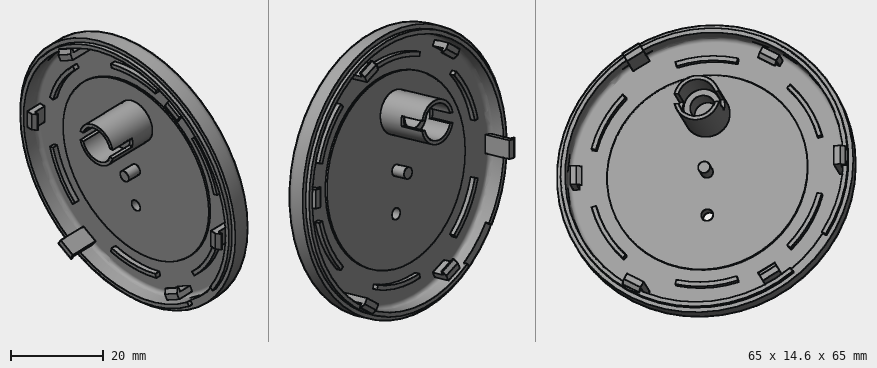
import cadquery as cq
import math


cover_radius = 32.5
shoulder_height = 5.0
lip_height = 1.0
rim_height = shoulder_height + lip_height
lip_setback = 1.0
lip_thickness = 1.0
lip_outer_radius = cover_radius - lip_setback
wall_inner_radius = lip_outer_radius - lip_thickness
back_fillet = 2.0
inner_fillet = 1.0
floor_height = 2.0

disc_radius = 22.0
disc_height = floor_height + 0.5

gap_center_angle = -42.0
gap_span_angle = 19.5

boss_z = 13.0
boss_outer_radius = 5.0
boss_inner_radius = 4.15
boss_height = 14.6
boss_slot_width = 2.3
boss_slot_depth = 6.0
boss_hole_radius = 2.75
boss_ledge_height = 7.6

small_radius = 1.3
pin_height = rim_height
hole_z = -9.7

rib_count = 6
rib_first_angle = 30.0
rib_span_angle = 30.5
rib_outer_radius = 26.1
rib_inner_radius = 25.1
rib_height = floor_height + 1.25

clip_count = 3
clip_width = 4.2
clip_thickness = 1.4
hook_reach = 1.0
hook_height = 1.0
hook_flat = 0.3
outward_clip_inner_radius = 29.0
outward_clip_height = rim_height + 3.0
outward_clip_first_angle = 0.0
inward_clip_outer_radius = 29.4
inward_clip_height = rim_height
inward_clip_first_angle = 60.0


def cylinder(radius, bottom, top, z=0.0):
    """Solid cylinder along -Y between two heights, centered at X = 0."""
    return cq.Workplane("XZ", origin=(0, -bottom, z)).circle(radius).extrude(top - bottom)


def ring_sector(inner_radius, outer_radius, center_angle, span_angle, bottom, top):
    """Part of a ring with radial ends, standing between two heights."""
    def point(radius, offset):
        angle = math.radians(center_angle + offset)
        return (radius * math.cos(angle), radius * math.sin(angle))

    half = span_angle / 2
    return (
        cq.Workplane("XZ", origin=(0, -bottom, 0))
        .moveTo(*point(inner_radius, -half))
        .lineTo(*point(outer_radius, -half))
        .threePointArc(point(outer_radius, 0), point(outer_radius, half))
        .lineTo(*point(inner_radius, half))
        .threePointArc(point(inner_radius, 0), point(inner_radius, -half))
        .close()
        .extrude(top - bottom)
    )


def turn(body, angle):
    """Turn a body about the cover axis, from +X toward +Z."""
    return body.rotate((0, 0, 0), (0, -1, 0), angle)


def make_shell():
    body = cylinder(cover_radius, 0, shoulder_height).faces(">Y").edges().fillet(back_fillet)
    lip = cylinder(lip_outer_radius, shoulder_height, rim_height)
    cavity = cylinder(wall_inner_radius, floor_height, rim_height)
    cavity = cavity.faces(">Y").edges().fillet(inner_fillet)
    gap = ring_sector(
        wall_inner_radius - inner_fillet, cover_radius,
        gap_center_angle, gap_span_angle, shoulder_height, rim_height,
    )
    disc = cylinder(disc_radius, floor_height, disc_height)
    return body.union(lip).cut(cavity).cut(gap).union(disc)


def make_boss():
    tube = cylinder(boss_outer_radius, floor_height, boss_height, boss_z)
    bore = cylinder(boss_inner_radius, boss_ledge_height, boss_height, boss_z)
    hole = cylinder(boss_hole_radius, floor_height, boss_ledge_height, boss_z)
    slot = cq.Workplane("XY").box(2 * cover_radius, boss_slot_depth, boss_slot_width)
    slot = slot.translate((0, boss_slot_depth / 2 - boss_height, boss_z))
    return tube.cut(bore).cut(hole).cut(slot)


def make_clip(root_radius, direction, top):
    """Clip on the +X side. Its hook points along +X or -X as direction is 1 or -1."""
    neck_radius = root_radius + direction * clip_thickness
    tip_radius = neck_radius + direction * hook_reach
    hook_bottom = top - hook_height
    return (
        cq.Workplane("XY", origin=(0, 0, -clip_width / 2))
        .moveTo(root_radius, -floor_height)
        .lineTo(root_radius, -top)
        .lineTo(neck_radius, -top)
        .lineTo(tip_radius, -(hook_bottom + hook_flat))
        .lineTo(tip_radius, -hook_bottom)
        .lineTo(neck_radius, -hook_bottom)
        .lineTo(neck_radius, -floor_height)
        .close()
        .extrude(clip_width)
    )


result = make_shell().union(make_boss()).union(cylinder(small_radius, floor_height, pin_height))

for index in range(rib_count):
    rib_angle = rib_first_angle + index * 360 / rib_count
    rib = ring_sector(
        rib_inner_radius, rib_outer_radius, rib_angle, rib_span_angle, floor_height, rib_height
    )
    result = result.union(rib)

outward_clip = make_clip(outward_clip_inner_radius, 1, outward_clip_height)
inward_clip = make_clip(inward_clip_outer_radius, -1, inward_clip_height)
for index in range(clip_count):
    turn_angle = index * 360 / clip_count
    result = result.union(turn(outward_clip, outward_clip_first_angle + turn_angle))
    result = result.union(turn(inward_clip, inward_clip_first_angle + turn_angle))

result = result.cut(cylinder(small_radius, 0, disc_height, hole_z))